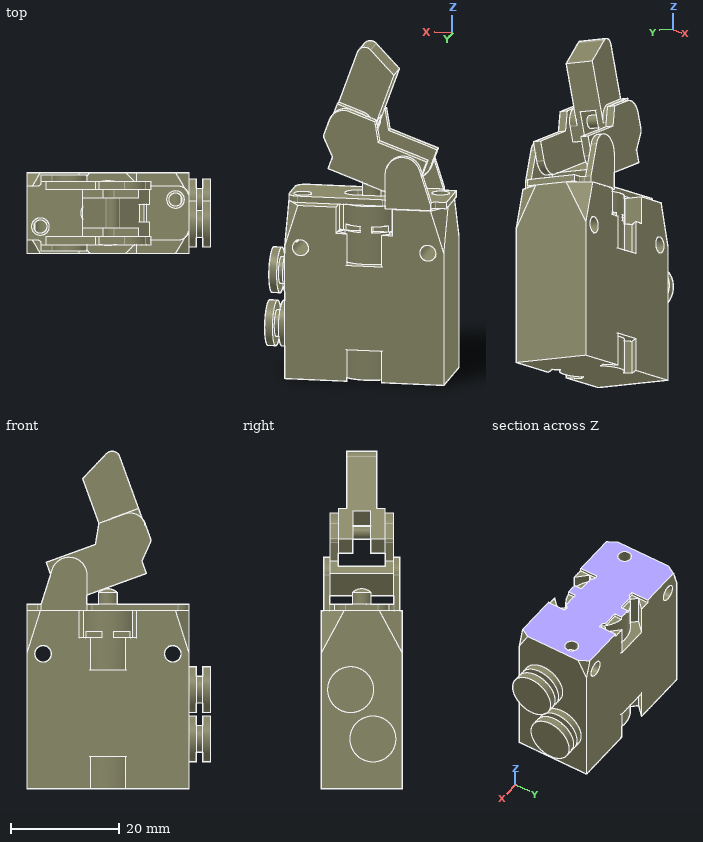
import cadquery as cq
import math

block_length = 30.0
block_width = 15.0
block_height = 33.0
half_length = block_length / 2
half_width = block_width / 2
corner_cut_x = 2.5
corner_cut_y = 4.25
corner_cut_z = 7.9

core_radius = 6.0
slot_half_width = 3.25
pocket_half_width = 5.3
pocket_back_y = 3.95
pocket_floor_z = 28.0
upper_slot_floor_z = 22.0
lower_slot_height = 6.0
notch_inner_x = 1.05
notch_back_y = 4.45
notch_height = 1.1

mount_hole_diameter = 3.0
mount_hole_x = 12.0
mount_hole_z = 25.0
screw_x = 12.5
screw_y = 2.5
screw_hole_diameter = 2.45
screw_clearance_diameter = 3.25

plate_thickness = 1.2
plate_half_width = 5.0
plate_corner_radius = 2.0
plunger_slot_length = 10.0
plunger_slot_width = 4.0
plate_top_z = block_height + plate_thickness
ear_inner_y = 5.9
ear_outer_y = 7.05
ear_left_x = -12.4
ear_radius = 3.3
ear_left_fillet = 0.6
ear_right_fillet = 0.95
pivot_x = -7.2
pivot_z = 39.6
ear_right_x = pivot_x + ear_radius

plunger_diameter = 3.5
plunger_shoulder_z = 36.35
plunger_top_z = 37.1

fitting_diameter = 8.5
fitting_neck_diameter = 5.0
fitting_length = 4.0
fitting_groove_start = 1.4
fitting_groove_end = 2.5
fitting_offset_y = 2.05
lower_fitting_z = 9.25
fitting_pitch_z = 9.15

lever_tilt = 20.0
lever_top_z = 62.55
arm_outer_y = ear_inner_y
arm_inner_y = 4.3
arm_end_radius = 3.2
arm_top_v = 3.7
arm_step_u = 6.5
arm_head_radius = 3.0
arm_head_u = 16.5
arm_head_v = 7.1
arm_nose_v = 0.8
arm_nose_radius = 1.0
web_start_u = 1.5
web_end_u = 13.6
web_bottom_v = -4.6
web_top_v = -arm_end_radius
arm_neck_v = -2.2

tip_left_u = 8.45
tip_right_u = 16.3
tip_bottom_v = 1.2
tip_half_width = 2.8
tip_round_radius = 1.5
tip_slope = 26.5
shoulder_v = 7.2
tip_pin_u = 11.45
tip_pin_diameter = 2.45
tip_slot_width = 3.25
tip_slot_top_v = 6.7
shoulder_radius = tip_pin_u - tip_left_u
tip_pin_v = shoulder_v - shoulder_radius


def box(x0, x1, y0, y1, z0, z1):
    """Axis-aligned block between opposite corners."""
    return cq.Workplane("XY").box(x1 - x0, y1 - y0, z1 - z0, centered=False).translate((x0, y0, z0))


def upright_cylinder(diameter, x, y, z0, z1):
    return cq.Workplane("XY", origin=(x, y, z0)).circle(diameter / 2).extrude(z1 - z0)


def corner_cutter():
    """Tetrahedron that slopes off the +X +Y upper corner of the block."""
    apex = cq.Vector(half_length, half_width, block_height)
    on_x = apex - cq.Vector(corner_cut_x, 0, 0)
    on_y = apex - cq.Vector(0, corner_cut_y, 0)
    on_z = apex - cq.Vector(0, 0, corner_cut_z)
    triangles = [(apex, on_x, on_y), (apex, on_x, on_z), (apex, on_y, on_z), (on_x, on_y, on_z)]
    faces = [cq.Face.makeFromWires(cq.Wire.makePolygon(t, close=True)) for t in triangles]
    return cq.Workplane(cq.Solid.makeSolid(cq.Shell.makeShell(faces)))


def undercut_slot(z0, z1):
    """Slot in the +Y face that widens inwards at 45 degrees, then tapers to the block axis."""
    widest_y = half_width - (pocket_half_width - slot_half_width)
    outline = [
        (-slot_half_width, half_width),
        (-pocket_half_width, widest_y),
        (0, widest_y - pocket_half_width),
        (pocket_half_width, widest_y),
        (slot_half_width, half_width),
    ]
    return cq.Workplane("XY", origin=(0, 0, z0)).polyline(outline).close().extrude(z1 - z0)


def side_recess():
    """Everything cut from the +Y face, leaving the round core standing."""
    pocket = box(
        -pocket_half_width, pocket_half_width, pocket_back_y, half_width, pocket_floor_z, block_height
    )
    recess = pocket.union(undercut_slot(upper_slot_floor_z, pocket_floor_z))
    recess = recess.union(undercut_slot(0, lower_slot_height))
    recess = recess.cut(upright_cylinder(2 * core_radius, 0, 0, 0, block_height))
    notch_top_z = pocket_floor_z + notch_height
    notch = box(notch_inner_x, pocket_half_width, notch_back_y, core_radius, pocket_floor_z, notch_top_z)
    return recess.union(notch).union(notch.mirror("YZ"))


def make_block():
    block = box(-half_length, half_length, -half_width, half_width, 0, block_height)
    corner = corner_cutter()
    for cutter in (corner, corner.mirror("YZ")):
        block = block.cut(cutter).cut(cutter.mirror("XZ"))
    recess = side_recess()
    block = block.cut(recess).cut(recess.mirror("XZ"))
    for side in (-1, 1):
        mount_hole = (
            cq.Workplane("XZ", origin=(side * mount_hole_x, half_width, mount_hole_z))
            .circle(mount_hole_diameter / 2)
            .extrude(block_width)
        )
        screw_hole = upright_cylinder(
            screw_hole_diameter, side * screw_x, side * screw_y, mount_hole_z, block_height
        )
        block = block.cut(mount_hole).cut(screw_hole)
    return block


def make_ear():
    """Hinge ear on the -Y side: a vertical right edge, a round top and a left edge tangent to it."""
    reach_x = pivot_x - ear_left_x
    reach_z = pivot_z - plate_top_z
    lean = math.atan2(reach_x, reach_z) - math.asin(ear_radius / math.hypot(reach_x, reach_z))
    tangent = (pivot_x - ear_radius * math.cos(lean), pivot_z + ear_radius * math.sin(lean))
    return (
        cq.Workplane("XZ", origin=(0, -ear_inner_y, 0))
        .moveTo(ear_left_x, block_height)
        .lineTo(ear_left_x, plate_top_z)
        .lineTo(*tangent)
        .threePointArc((pivot_x, pivot_z + ear_radius), (ear_right_x, pivot_z))
        .lineTo(ear_right_x, block_height)
        .close()
        .extrude(ear_outer_y - ear_inner_y)
    )


def make_plate():
    plate = box(-half_length, half_length, -plate_half_width, plate_half_width, block_height, plate_top_z)
    plate = plate.edges("|Z and >X").fillet(plate_corner_radius)
    plate = plate.union(box(ear_left_x, ear_right_x, -ear_outer_y, ear_outer_y, block_height, plate_top_z))
    middle_z = (block_height + plate_top_z) / 2
    for x, radius in ((ear_left_x, ear_left_fillet), (ear_right_x, ear_right_fillet)):
        for y in (-plate_half_width, plate_half_width):
            plate = plate.edges(cq.NearestToPointSelector((x, y, middle_z))).fillet(radius)
    plunger_slot = (
        cq.Workplane("XY", origin=(0, 0, block_height))
        .slot2D(plunger_slot_length, plunger_slot_width)
        .extrude(plate_thickness)
    )
    plate = plate.cut(plunger_slot)
    for side in (-1, 1):
        plate = plate.cut(
            upright_cylinder(
                screw_clearance_diameter, side * screw_x, side * screw_y, block_height, plate_top_z
            )
        )
    ear = make_ear()
    return plate.union(ear).union(ear.mirror("XZ"))


def make_plunger():
    radius = plunger_diameter / 2
    dome_height = plunger_top_z - plunger_shoulder_z
    dome_radius = (radius**2 + dome_height**2) / (2 * dome_height)
    half_angle = math.asin(radius / dome_radius) / 2
    dome_middle = (
        dome_radius * math.sin(half_angle),
        plunger_top_z - dome_radius * (1 - math.cos(half_angle)),
    )
    return (
        cq.Workplane("XZ")
        .moveTo(0, block_height)
        .lineTo(radius, block_height)
        .lineTo(radius, plunger_shoulder_z)
        .threePointArc(dome_middle, (0, plunger_top_z))
        .close()
        .revolve(360, (0, 0, 0), (0, 1, 0))
    )


def make_fitting(y, z):
    """Grooved round fitting standing on the +X face."""
    def disc(diameter, start, end):
        plane = cq.Workplane("YZ", origin=(half_length + start, y, z))
        return plane.circle(diameter / 2).extrude(end - start)

    fitting = disc(fitting_neck_diameter, 0, fitting_length)
    fitting = fitting.union(disc(fitting_diameter, 0, fitting_groove_start))
    return fitting.union(disc(fitting_diameter, fitting_groove_end, fitting_length))


def make_housing():
    """Valve body: block, plunger and two hose fittings."""
    housing = make_block().union(make_plunger())
    housing = housing.union(make_fitting(fitting_offset_y, lower_fitting_z))
    return housing.union(make_fitting(-fitting_offset_y, lower_fitting_z + fitting_pitch_z))


def lever_plane(half_thickness):
    """Sketch plane (u, v) from which a positive extrusion runs from +half_thickness towards -Y."""
    return cq.Workplane("XZ", origin=(0, half_thickness, 0))


def make_yoke():
    """Two side arms joined by a web along the bottom."""
    diagonal = math.sqrt(0.5)
    arms = (
        lever_plane(arm_outer_y)
        .moveTo(-arm_end_radius, arm_top_v)
        .lineTo(arm_step_u, arm_top_v)
        .lineTo(tip_left_u, arm_head_v)
        .lineTo(arm_head_u - arm_head_radius, arm_head_v)
        .threePointArc(
            (
                arm_head_u - arm_head_radius * (1 - diagonal),
                arm_head_v - arm_head_radius * (1 - diagonal),
            ),
            (arm_head_u, arm_head_v - arm_head_radius),
        )
        .lineTo(arm_head_u, arm_nose_v)
        .lineTo(web_end_u, arm_neck_v)
        .lineTo(web_end_u, web_bottom_v)
        .lineTo(web_start_u, web_bottom_v)
        .lineTo(web_start_u, web_top_v)
        .lineTo(0, web_top_v)
        .threePointArc((-arm_end_radius * diagonal, -arm_end_radius * diagonal), (-arm_end_radius, 0))
        .close()
        .extrude(2 * arm_outer_y)
    )
    nose = cq.NearestToPointSelector((arm_head_u, 0, arm_nose_v))
    arms = arms.edges(nose).fillet(arm_nose_radius)
    gap = box(-arm_end_radius, arm_head_u, -arm_inner_y, arm_inner_y, web_top_v, shoulder_v)
    return arms.cut(gap)


def make_tip():
    """Finger with a sloped, rounded end, on a wider foot held between the arms."""
    tilt = math.radians(lever_tilt)
    slope = math.radians(tip_slope)
    round_u = tip_right_u - tip_round_radius
    round_z = lever_top_z - tip_round_radius
    round_v = (round_z - pivot_z - round_u * math.sin(tilt)) / math.cos(tilt)
    slope_end = (
        round_u - tip_round_radius * math.sin(slope),
        round_v + tip_round_radius * math.cos(slope),
    )
    slope_start_v = slope_end[1] - (slope_end[0] - tip_left_u) * math.tan(slope)
    round_middle = (
        round_u + tip_round_radius * math.sin(tilt),
        round_v + tip_round_radius * math.cos(tilt),
    )
    finger = (
        lever_plane(tip_half_width)
        .moveTo(tip_left_u, tip_bottom_v)
        .lineTo(tip_left_u, slope_start_v)
        .lineTo(*slope_end)
        .threePointArc(round_middle, (tip_right_u, round_v))
        .lineTo(tip_right_u, tip_bottom_v)
        .close()
        .extrude(2 * tip_half_width)
    )
    foot = box(tip_left_u, tip_right_u, -arm_inner_y, arm_inner_y, tip_bottom_v, shoulder_v)
    foot = foot.edges("|Y and <X and >Z").fillet(shoulder_radius)
    slot = box(
        tip_left_u, tip_right_u, -tip_slot_width / 2, tip_slot_width / 2, tip_bottom_v, tip_slot_top_v
    )
    pin = (
        lever_plane(arm_inner_y)
        .center(tip_pin_u, tip_pin_v)
        .circle(tip_pin_diameter / 2)
        .extrude(2 * arm_inner_y)
    )
    return finger.union(foot).cut(slot).union(pin)


def make_lever():
    """Yoke and tip, tilted about the pivot."""
    lever = make_yoke().union(make_tip())
    lever = lever.rotate((0, 0, 0), (0, 1, 0), -lever_tilt)
    return lever.translate((pivot_x, 0, pivot_z))


def make_lever_head():
    """Actuator head: the top plate with its ears, carrying the lever between them."""
    return make_plate().union(make_lever())


housing = make_housing()
lever_head = make_lever_head()

result = cq.Compound.makeCompound([housing.solids().val(), lever_head.solids().val()])